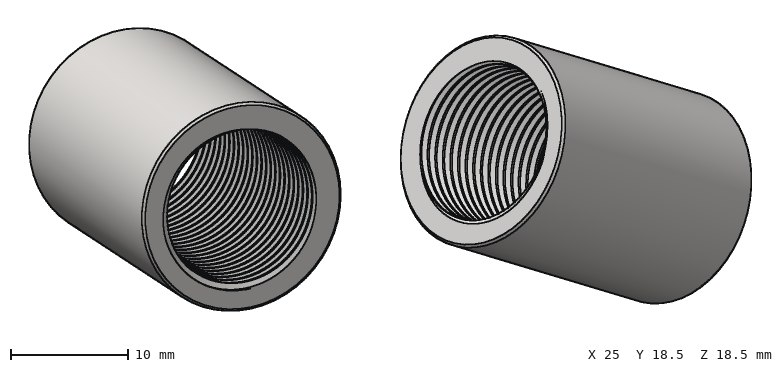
import cadquery as cq
import math

length = 25.0
outer_diameter = 18.5
bore_diameter = 13.75
edge_chamfer = 0.22

pitch = 1.0
flank_angle = 30.0
root_flat = pitch / 8
crest_flat = pitch / 4
start_angle = 215.0
bore_overlap = 0.08

core_extension = 3 * pitch
bore_radius = bore_diameter / 2
flank_slope = math.tan(math.radians(flank_angle))
thread_depth = (pitch - root_flat - crest_flat) / 2 / flank_slope


def make_blank():
    """Solid cylinder with both outer end edges chamfered."""
    blank = cq.Workplane("YZ").circle(outer_diameter / 2).extrude(length)
    return blank.faces("<X or >X").edges().chamfer(edge_chamfer)


def make_bore_core():
    """Plain bore, extended past both ends of the thread cutter."""
    core_length = length + 2 * core_extension
    core = cq.Workplane("YZ").circle(bore_radius).extrude(core_length)
    return core.translate((-core_extension, 0, 0))


def make_thread_cutter():
    """Helical groove that starts and ends one pitch beyond the sleeve."""
    inner_radius = bore_radius - bore_overlap
    root_radius = bore_radius + thread_depth
    half_root = root_flat / 2
    half_mouth = half_root + (root_radius - inner_radius) * flank_slope

    helix = cq.Wire.makeHelix(pitch, length + 2 * pitch, bore_radius, lefthand=True)
    groove = (
        cq.Workplane("XZ")
        .moveTo(inner_radius, -half_mouth)
        .lineTo(root_radius, -half_root)
        .lineTo(root_radius, half_root)
        .lineTo(inner_radius, half_mouth)
        .close()
        .sweep(cq.Workplane(obj=helix), isFrenet=True)
    )
    quarter_turn = 90
    helix_start_angle = 3 * quarter_turn
    lying = groove.rotate((0, 0, 0), (0, 1, 0), quarter_turn).translate((-pitch, 0, 0))
    return lying.rotate((0, 0, 0), (1, 0, 0), start_angle - helix_start_angle)


threaded_core = make_bore_core().union(make_thread_cutter())
result = make_blank().cut(threaded_core)